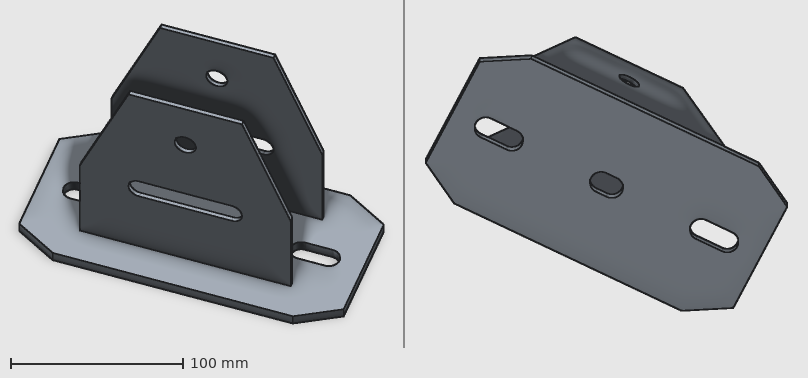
import cadquery as cq

base_length = 200.0
base_width = 100.0
base_thickness = 6.5
corner_cut_x = 26.0
corner_cut_y = 15.0

slot_width = 13.0
centre_slot_length = 20.0
end_slot_length = 30.0
end_slot_offset = 70.0

cheek_width = 130.0
cheek_top_width = 70.0
cheek_height = 130.0
cheek_shoulder_height = 56.8
cheek_span = 57.8
cheek_gap = 52.0
cheek_pair_shift = 0.55
cheek_thickness = (cheek_span - cheek_gap) / 2

pin_hole_diameter = 13.0
pin_hole_height = 99.0
adjust_slot_length = 70.0
adjust_slot_height = 50.0


def make_base():
    """Flat plate with four cut corners and three mounting slots."""
    half_length = base_length / 2
    half_width = base_width / 2
    flat_x = half_length - corner_cut_x
    flat_y = half_width - corner_cut_y
    outline = [
        (-flat_x, -half_width),
        (flat_x, -half_width),
        (half_length, -flat_y),
        (half_length, flat_y),
        (flat_x, half_width),
        (-flat_x, half_width),
        (-half_length, flat_y),
        (-half_length, -flat_y),
    ]
    plate = cq.Workplane("XY").polyline(outline).close().extrude(base_thickness)
    centre_slot = cq.Workplane("XY").slot2D(centre_slot_length, slot_width).extrude(base_thickness)
    end_slots = (
        cq.Workplane("XY")
        .pushPoints([(-end_slot_offset, 0), (end_slot_offset, 0)])
        .slot2D(end_slot_length, slot_width)
        .extrude(base_thickness)
    )
    return plate.cut(centre_slot).cut(end_slots)


def make_cheek(front_face_y):
    """Upright plate standing on the base, from front_face_y towards +Y."""
    sketch = cq.Workplane("XZ", origin=(0, front_face_y, base_thickness))
    outline = [
        (-cheek_width / 2, 0),
        (cheek_width / 2, 0),
        (cheek_width / 2, cheek_shoulder_height),
        (cheek_top_width / 2, cheek_height),
        (-cheek_top_width / 2, cheek_height),
        (-cheek_width / 2, cheek_shoulder_height),
    ]
    plate = sketch.polyline(outline).close().extrude(-cheek_thickness)
    pin_hole = sketch.center(0, pin_hole_height).circle(pin_hole_diameter / 2).extrude(-cheek_thickness)
    adjust_slot = (
        sketch.center(0, adjust_slot_height)
        .slot2D(adjust_slot_length, slot_width)
        .extrude(-cheek_thickness)
    )
    return plate.cut(pin_hole).cut(adjust_slot)


base = make_base()
cheek_front_faces = [
    cheek_pair_shift - cheek_span / 2,
    cheek_pair_shift + cheek_gap / 2,
]
cheeks = [make_cheek(face_y) for face_y in cheek_front_faces]

result = cq.Compound.makeCompound([base.val(), *[cheek.val() for cheek in cheeks]])